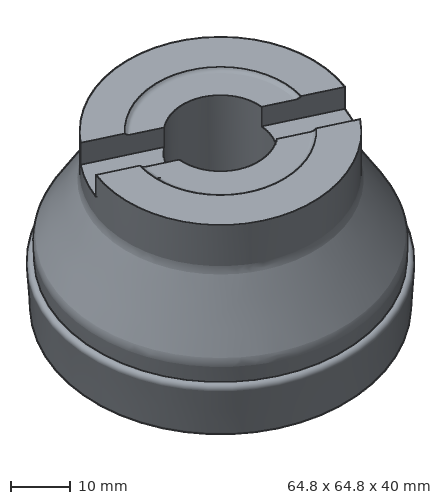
import cadquery as cq

total_height = 40.0
rim_radius = 32.4

base_height = 11.65
base_foot_radius = 31.8
base_top_rounding = 1.0
base_bottom_rounding = 1.0
base_hole_diameter = 11.0

collar_radius = 31.35
collar_foot_radius = 31.15
collar_top = 16.05
neck_diameter = 47.0
neck_bottom = 30.0
cone_blend_radius = 3.1
bore_diameter = 19.05

recess_diameter = 32.0
recess_floor_diameter = 30.05
recess_depth = 0.5

slot_width = 8.4
slot_depth = 4.9


def make_base():
    """Tapered disc with rounded rims and a central through hole."""
    shoulder_height = base_height - base_top_rounding
    base = (
        cq.Workplane("XZ")
        .lineTo(base_foot_radius, 0)
        .lineTo(rim_radius, shoulder_height)
        .radiusArc((rim_radius - base_top_rounding, base_height), -base_top_rounding)
        .lineTo(0, base_height)
        .close()
        .revolve(360, (0, 0, 0), (0, 1, 0))
    )
    base = base.faces("<Z").edges().fillet(base_bottom_rounding)
    return base.faces(">Z").workplane().hole(base_hole_diameter)


def make_upper_blank():
    """Revolved collar, cone and neck, blended where the cone meets each cylinder."""
    neck_radius = neck_diameter / 2
    blank = (
        cq.Workplane("XZ")
        .moveTo(0, base_height)
        .lineTo(collar_foot_radius, base_height)
        .lineTo(collar_radius, collar_top)
        .lineTo(neck_radius, neck_bottom)
        .lineTo(neck_radius, total_height)
        .lineTo(0, total_height)
        .close()
        .revolve(360, (0, 0, 0), (0, 1, 0))
    )
    edge_clearance = 0.65
    cone_edges = cq.selectors.BoxSelector(
        (-rim_radius, -rim_radius, collar_top - edge_clearance),
        (rim_radius, rim_radius, neck_bottom + edge_clearance),
    )
    return blank.edges("%CIRCLE").edges(cone_edges).fillet(cone_blend_radius)


def make_recess_cutter():
    """Shallow disc whose edge curves from the flat floor up to the top face."""
    edge_width = (recess_diameter - recess_floor_diameter) / 2
    edge_radius = (edge_width**2 + recess_depth**2) / (2 * recess_depth)
    floor_height = total_height - recess_depth
    return (
        cq.Workplane("XZ")
        .moveTo(0, floor_height)
        .lineTo(recess_floor_diameter / 2, floor_height)
        .radiusArc((recess_diameter / 2, total_height), -edge_radius)
        .lineTo(0, total_height)
        .close()
        .revolve(360, (0, 0, 0), (0, 1, 0))
    )


def make_slot_cutter():
    """Bar that cuts the driving slot right across the neck."""
    return (
        cq.Workplane("XY", origin=(0, 0, total_height - slot_depth))
        .rect(slot_width, 2 * rim_radius)
        .extrude(slot_depth)
    )


def make_upper_body():
    """Collar, cone and neck with the bore, top recess and driving slot cut in."""
    body = make_upper_blank().faces(">Z").workplane().hole(bore_diameter)
    return body.cut(make_recess_cutter()).cut(make_slot_cutter())


base = make_base()
upper_body = make_upper_body()

result = cq.Compound.makeCompound([base.val(), upper_body.val()])